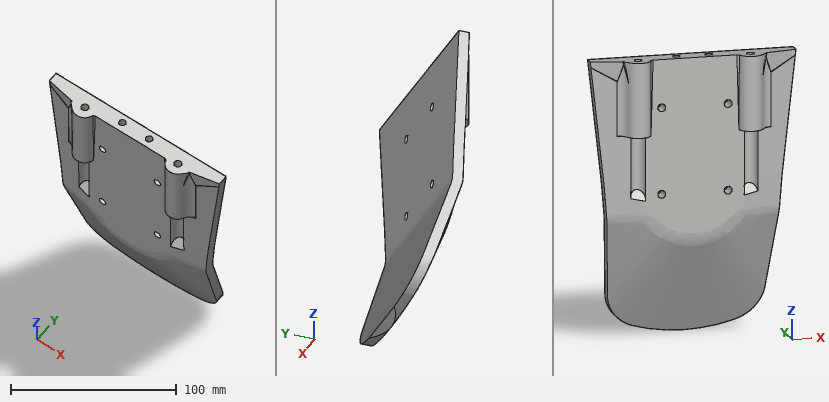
import cadquery as cq
import math

EDGE_THICKNESS = 6.9
PLATEAU_Y = -11.3
WIDTH = 128.2
KINK_X = 55.5
KINK_Z = -76.9
BEND_X = 53.7
BEND_Z = -98.8
CORNER_START = (49.2, -150.0)
CORNER_MIDDLE = (43.8, -163.5)
CORNER_END = (32.4, -171.7)
TIP_Z = -176.8
TAIL_ANGLE = 17.8
FRONT_BEND_RADIUS = 20.0
BACK_BEND_RADIUS = 24.8
CREASE_RISE = 3.5
PICK_MARGIN = 0.9

PLATEAU_TOP_X = 32.7
PLATEAU_KINK_Z = -81.7
U_RADIUS = 35.0
U_CENTRE_Z = -79.0
U_SIDE_ANGLE = 33.0
U_CORNER_ANGLE = 60.0
U_BOTTOM_ANGLE = 73.5

BOSS_X = 35.0
BOSS_Y = -9.9
BOSS_RADIUS = 7.8
BOSS_LENGTH = 46.7
BOSS_HOLE_DIAMETER = 4.8
WEB_FOOT = (48.0, -9.2)
WEB_START_ANGLE = 27.0
BRACE_DEPTH = 12.7
FLARE_ANGLE = 15.0
FLARE = 1.2

GUSSET_RIM_DEPTH = 3.5
GUSSET_TOP = (43.7, -11.0)
GUSSET_FOOT = (-9.2, -12.7)

GROOVE_DIAMETER = 9.0
GROOVE_END_Z = -81.5

MOUNT_HOLE_DIAMETER = 4.8
MOUNT_HOLE_X = 20.7
MOUNT_HOLE_ROWS = (-30.0, -84.0)
TOP_HOLE_DIAMETER = 4.5
TOP_HOLE_X = 10.0
TOP_HOLE_Y = -5.5
TOP_HOLE_DEPTH = 17.7

HALF_WIDTH = WIDTH / 2
FRONT_Y = -EDGE_THICKNESS
SIDES = (1, -1)
TAIL_SLOPE = math.tan(math.radians(TAIL_ANGLE))


def plate_point(x, z):
    """Point on the front rim of the upright plate."""
    return cq.Vector(x, FRONT_Y, z)


def tail_point(x, z):
    """Point on the front rim of the leaning tail."""
    return cq.Vector(x, FRONT_Y + TAIL_SLOPE * (BEND_Z - z), z)


def plateau_point(x, z):
    return cq.Vector(x, PLATEAU_Y, z)


def u_point(side, angle):
    """Point on the round lower end of the plateau, angle in degrees below horizontal."""
    a = math.radians(angle)
    return plateau_point(side * U_RADIUS * math.cos(a), U_CENTRE_Z - U_RADIUS * math.sin(a))


def u_arc(side, start, end):
    return cq.Edge.makeThreePointArc(
        u_point(side, start), u_point(side, (start + end) / 2), u_point(side, end)
    )


def line(a, b):
    return cq.Edge.makeLine(a, b)


def to_back(edge):
    return edge.translate(cq.Vector(0, EDGE_THICKNESS, 0))


def flat_face(edges):
    return cq.Face.makeFromWires(cq.Wire.assembleEdges(edges))


def solid_from(faces):
    return cq.Workplane(cq.Solid.makeSolid(cq.Shell.makeShell(faces)).fix())


def rim_edges(side):
    """Front rim on one side, from the top corner to the start of the tip arc."""
    top = plate_point(side * HALF_WIDTH, 0)
    kink = plate_point(side * KINK_X, KINK_Z)
    bend = plate_point(side * BEND_X, BEND_Z)
    corner = [tail_point(side * x, z) for x, z in (CORNER_START, CORNER_MIDDLE, CORNER_END)]
    return [line(top, kink), line(kink, bend), line(bend, corner[0]), cq.Edge.makeThreePointArc(*corner)]


def plateau_edges(side):
    """Plateau outline on one side, each edge facing the rim edge of the same index."""
    top = plateau_point(side * PLATEAU_TOP_X, 0)
    kink = plateau_point(side * PLATEAU_TOP_X, PLATEAU_KINK_Z)
    return [
        line(top, kink),
        line(kink, u_point(side, U_SIDE_ANGLE)),
        u_arc(side, U_SIDE_ANGLE, U_CORNER_ANGLE),
        u_arc(side, U_CORNER_ANGLE, U_BOTTOM_ANGLE),
    ]


def make_body():
    """Bent plate whose front slopes from the rim up to the flat plateau."""
    rims = {side: rim_edges(side) for side in SIDES}
    plateaus = {side: plateau_edges(side) for side in SIDES}
    end_x, end_z = CORNER_END
    tip = cq.Edge.makeThreePointArc(
        tail_point(end_x, end_z), tail_point(0, TIP_Z), tail_point(-end_x, end_z)
    )
    u_bottom = cq.Edge.makeThreePointArc(
        u_point(1, U_BOTTOM_ANGLE), u_point(1, 90), u_point(-1, U_BOTTOM_ANGLE)
    )
    faces = [cq.Face.makeRuledSurface(u_bottom, tip), cq.Face.makeRuledSurface(tip, to_back(tip))]
    for side in SIDES:
        for rim, inner in zip(rims[side], plateaus[side]):
            faces.append(cq.Face.makeRuledSurface(inner, rim))
            faces.append(cq.Face.makeRuledSurface(rim, to_back(rim)))

    plateau_top = line(plateau_point(PLATEAU_TOP_X, 0), plateau_point(-PLATEAU_TOP_X, 0))
    faces.append(flat_face(plateaus[1] + plateaus[-1] + [u_bottom, plateau_top]))

    rim_top = line(plate_point(HALF_WIDTH, 0), plate_point(-HALF_WIDTH, 0))
    bend = line(plate_point(BEND_X, BEND_Z), plate_point(-BEND_X, BEND_Z))
    upper = rims[1][:2] + rims[-1][:2] + [rim_top, bend]
    lower = rims[1][2:] + rims[-1][2:] + [bend, tip]
    faces.append(flat_face([to_back(edge) for edge in upper]))
    faces.append(flat_face([to_back(edge) for edge in lower]))

    top_edges = [plateau_top, to_back(rim_top)]
    for side in SIDES:
        corner = plate_point(side * HALF_WIDTH, 0)
        top_edges.append(line(plateau_point(side * PLATEAU_TOP_X, 0), corner))
        top_edges.append(line(corner, corner + cq.Vector(0, EDGE_THICKNESS, 0)))
    faces.append(flat_face(top_edges))
    return solid_from(faces)


def round_bends(body):
    """Round the bend on the back and the matching crease across the front."""
    back_crease = cq.selectors.BoxSelector(
        (-HALF_WIDTH, -PICK_MARGIN, BEND_Z - PICK_MARGIN),
        (HALF_WIDTH, PICK_MARGIN, BEND_Z + PICK_MARGIN),
        boundingbox=True,
    )
    u_bottom_z = U_CENTRE_Z - U_RADIUS
    front_crease = cq.selectors.BoxSelector(
        (-HALF_WIDTH, PLATEAU_Y - PICK_MARGIN, u_bottom_z - PICK_MARGIN),
        (HALF_WIDTH, FRONT_Y + PICK_MARGIN, BEND_Z + CREASE_RISE),
        boundingbox=True,
    )
    return body.edges(back_crease).fillet(BACK_BEND_RADIUS).edges(front_crease).fillet(FRONT_BEND_RADIUS)


def tip_cutter():
    """Everything below the plane square to the tail through its front tip."""
    tip = tail_point(0, TIP_Z)
    plane = cq.Plane(origin=tip.toTuple(), xDir=(1, 0, 0), normal=(0, TAIL_SLOPE, -1))
    return cq.Workplane(plane).rect(2 * HALF_WIDTH, 2 * HALF_WIDTH).extrude(2 * EDGE_THICKNESS)


def flat_facet(*corners):
    points = [cq.Vector(*corner) for corner in corners]
    return cq.Face.makeFromWires(cq.Wire.makePolygon(points, close=True))


def tetrahedron(a, b, c, d):
    return solid_from([flat_facet(a, b, c), flat_facet(a, b, d), flat_facet(a, c, d), flat_facet(b, c, d)])


def boss_rim(angle):
    """X, Y on the right-hand boss, angle in degrees from straight outwards to the front."""
    a = math.radians(angle)
    return BOSS_X + BOSS_RADIUS * math.cos(a), BOSS_Y - BOSS_RADIUS * math.sin(a)


def web_middle():
    """Middle of the hollow arc that leaves the boss tangentially and ends at the web foot."""
    start_x, start_y = boss_rim(WEB_START_ANGLE)
    run = WEB_FOOT[0] - start_x
    rise = WEB_FOOT[1] - start_y
    chord_angle = math.atan2(rise, run)
    turn = math.radians(90 - WEB_START_ANGLE) - chord_angle
    sag = math.tan(turn / 2) / 2
    return start_x + run / 2 - sag * rise, start_y + rise / 2 + sag * run


def make_boss():
    """Right-hand hinge boss with a hollow web blending its outer side into the plate."""
    post = cq.Workplane().center(BOSS_X, BOSS_Y).circle(BOSS_RADIUS).extrude(-BOSS_LENGTH)
    web = (
        cq.Workplane()
        .moveTo(BOSS_X, BOSS_Y)
        .lineTo(*boss_rim(WEB_START_ANGLE))
        .threePointArc(web_middle(), WEB_FOOT)
        .lineTo(WEB_FOOT[0], FRONT_Y)
        .lineTo(BOSS_X, FRONT_Y)
        .close()
        .extrude(-BOSS_LENGTH)
    )
    back_trim = cq.Workplane().box(HALF_WIDTH, EDGE_THICKNESS, BOSS_LENGTH).translate(
        (BOSS_X, EDGE_THICKNESS / 2, -BOSS_LENGTH / 2)
    )
    return post.union(web).cut(back_trim)


def make_brace():
    """Wedge at 45 degrees that fills the top of the web and fades out downwards."""
    tangent_x, tangent_y = boss_rim(45)
    reach = GUSSET_TOP[1] - tangent_y
    return tetrahedron(
        (tangent_x, tangent_y, 0),
        (tangent_x + reach, tangent_y + reach, 0),
        (BOSS_X, BOSS_Y, 0),
        (*boss_rim(WEB_START_ANGLE), -BRACE_DEPTH),
    )


def make_flare():
    """Thin sliver on the inner side of the boss, fading out at its lower end."""
    inner_x = BOSS_X - math.sqrt(BOSS_RADIUS**2 - (PLATEAU_Y - BOSS_Y) ** 2)
    return tetrahedron(
        (inner_x - FLARE, PLATEAU_Y, 0),
        (*boss_rim(180 - FLARE_ANGLE), 0),
        (BOSS_X, FRONT_Y, 0),
        (inner_x, PLATEAU_Y, -BOSS_LENGTH),
    )


def make_gusset():
    """Small twisted facet that thickens the right-hand top corner towards the boss."""
    rim_drop = GUSSET_RIM_DEPTH / KINK_Z
    corner = plate_point(HALF_WIDTH, 0)
    rim = plate_point(HALF_WIDTH + rim_drop * (HALF_WIDTH - KINK_X), -GUSSET_RIM_DEPTH)
    top = cq.Vector(*GUSSET_TOP, 0)
    foot = cq.Vector(WEB_FOOT[0], *GUSSET_FOOT)
    root = cq.Vector(BOSS_X, FRONT_Y / 2, 0)
    outline = [corner, rim, foot, top]
    faces = [cq.Face.makeRuledSurface(line(corner, top), line(rim, foot))]
    for start, end in zip(outline, outline[1:] + outline[:1]):
        faces.append(flat_facet(start.toTuple(), end.toTuple(), root.toTuple()))
    return solid_from(faces)


def make_groove():
    """Right-hand round groove below the boss, its lower end sloping out at 45 degrees."""
    floor_y = BOSS_Y + GROOVE_DIAMETER / 2
    start_z = -BOSS_LENGTH
    cylinder = (
        cq.Workplane().workplane(offset=start_z).center(BOSS_X, BOSS_Y)
        .circle(GROOVE_DIAMETER / 2).extrude(-2 * BOSS_LENGTH)
    )
    keep = (
        cq.Workplane("YZ")
        .polyline(
            [
                (floor_y, start_z),
                (floor_y, GROOVE_END_Z),
                (floor_y - GROOVE_DIAMETER, GROOVE_END_Z - GROOVE_DIAMETER),
                (floor_y - GROOVE_DIAMETER, start_z),
            ]
        )
        .close()
        .extrude(HALF_WIDTH)
    )
    return cylinder.intersect(keep)


def both_sides(right):
    return right.union(right.mirror("YZ"))


def hinge_holes():
    points = [(side * BOSS_X, BOSS_Y) for side in SIDES]
    return cq.Workplane().pushPoints(points).circle(BOSS_HOLE_DIAMETER / 2).extrude(-BOSS_LENGTH)


def top_holes():
    points = [(side * TOP_HOLE_X, TOP_HOLE_Y) for side in SIDES]
    return cq.Workplane().pushPoints(points).circle(TOP_HOLE_DIAMETER / 2).extrude(-TOP_HOLE_DEPTH)


def mount_holes():
    """Holes through the plateau, drilled from the back towards the front."""
    points = [(side * MOUNT_HOLE_X, z) for side in SIDES for z in MOUNT_HOLE_ROWS]
    return cq.Workplane("XZ").pushPoints(points).circle(MOUNT_HOLE_DIAMETER / 2).extrude(-PLATEAU_Y)


result = (
    round_bends(make_body())
    .cut(tip_cutter())
    .union(both_sides(make_gusset()))
    .union(both_sides(make_boss()))
    .union(both_sides(make_brace()))
    .union(both_sides(make_flare()))
    .cut(both_sides(make_groove()))
    .cut(hinge_holes())
    .cut(top_holes())
    .cut(mount_holes())
)